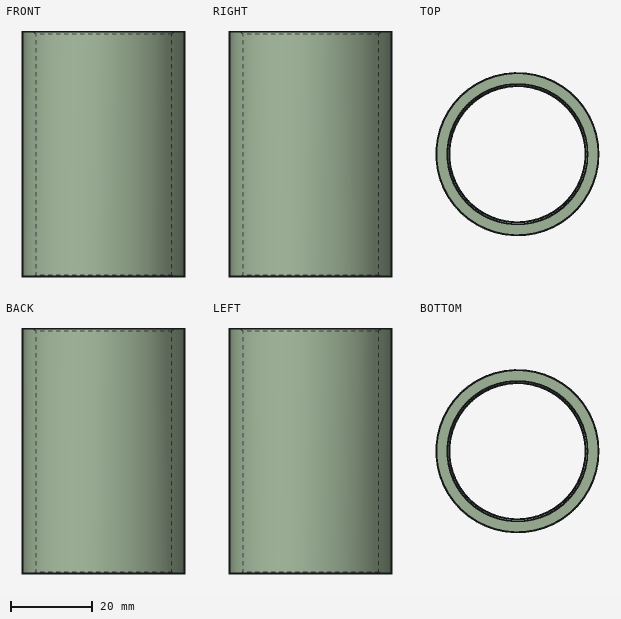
import cadquery as cq

length = 60.0
outer_diameter = 39.8
bore_diameter = 33.3

bore_chamfer = 0.55

sleeve = (
    cq.Workplane("XY")
    .circle(outer_diameter / 2)
    .circle(bore_diameter / 2)
    .extrude(length)
)

bore_edges = cq.selectors.RadiusNthSelector(0)

result = sleeve.faces("<Z or >Z").edges(bore_edges).chamfer(bore_chamfer)